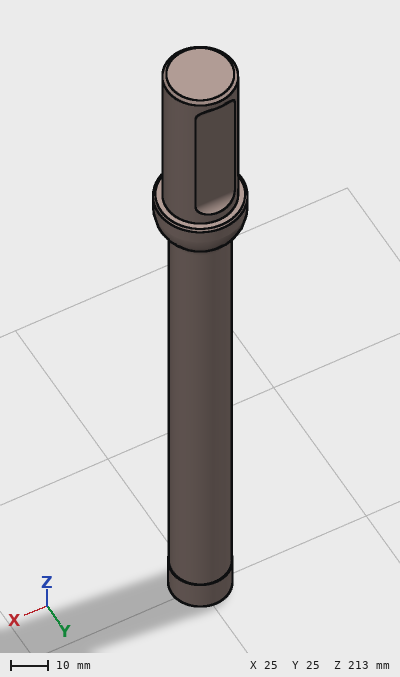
import cadquery as cq
import math

TOTAL_LENGTH = 213.0
POINT_HEIGHT = 2.3
TIP_TOP = 11.3
NECK_BOTTOM = 147.8
FLANGE_RIM_BOTTOM = 158.3
FLANGE_TOP = 163.2

SHANK_DIAMETER = 20.0
FLANGE_DIAMETER = 25.0
STEM_DIAMETER = 16.6
TIP_DIAMETER = 17.0

SHANK_CHAMFER_WIDTH = 1.0
SHANK_CHAMFER_HEIGHT = 0.9
FLANGE_CHAMFER = 0.6

NECK_BOWL_RADIUS = 10.6

FLAT_DEPTH = 2.0
FLAT_END_RADIUS = 4.0
FLAT_TOP_LAND = 3.2
FLAT_BOTTOM_LAND = 3.2

shank_radius = SHANK_DIAMETER / 2
flange_radius = FLANGE_DIAMETER / 2
stem_radius = STEM_DIAMETER / 2
tip_radius = TIP_DIAMETER / 2


def make_turned_holder():
    """Stem, bowl-shaped neck, flange and chamfered shank, turned about Z."""
    neck_inset = flange_radius - stem_radius
    neck_height = FLANGE_RIM_BOTTOM - NECK_BOTTOM
    turn = 2 * math.atan2(neck_inset, neck_height)
    neck_join = (
        flange_radius - NECK_BOWL_RADIUS * (1 - math.cos(turn)),
        FLANGE_RIM_BOTTOM - NECK_BOWL_RADIUS * math.sin(turn),
    )
    profile = (
        cq.Workplane("XZ")
        .moveTo(0, TIP_TOP)
        .lineTo(stem_radius, TIP_TOP)
        .lineTo(stem_radius, NECK_BOTTOM)
        .tangentArcPoint(neck_join, relative=False)
        .tangentArcPoint((flange_radius, FLANGE_RIM_BOTTOM), relative=False)
        .lineTo(flange_radius, FLANGE_TOP - FLANGE_CHAMFER)
        .lineTo(flange_radius - FLANGE_CHAMFER, FLANGE_TOP)
        .lineTo(shank_radius, FLANGE_TOP)
        .lineTo(shank_radius, TOTAL_LENGTH - SHANK_CHAMFER_HEIGHT)
        .lineTo(shank_radius - SHANK_CHAMFER_WIDTH, TOTAL_LENGTH)
        .lineTo(0, TOTAL_LENGTH)
        .close()
    )
    return profile.revolve(360, (0, 0, 0), (0, 1, 0))


def make_flat_cutter():
    """Prism along X that cuts the flat, with a concave run-out at each end."""
    flat_y = shank_radius - FLAT_DEPTH
    top = TOTAL_LENGTH - FLAT_TOP_LAND
    bottom = FLANGE_TOP + FLAT_BOTTOM_LAND
    run_out = math.sqrt(FLAT_END_RADIUS**2 - (FLAT_END_RADIUS - FLAT_DEPTH)**2)
    return (
        cq.Workplane("YZ")
        .moveTo(shank_radius, bottom)
        .radiusArc((flat_y, bottom + run_out), FLAT_END_RADIUS)
        .lineTo(flat_y, top - run_out)
        .radiusArc((shank_radius, top), FLAT_END_RADIUS)
        .close()
        .extrude(shank_radius, both=True)
    )


def make_tip():
    """Cylindrical drill tip with a shallow conical point facing -Z."""
    profile = (
        cq.Workplane("XZ")
        .moveTo(0, 0)
        .lineTo(tip_radius, POINT_HEIGHT)
        .lineTo(tip_radius, TIP_TOP)
        .lineTo(0, TIP_TOP)
        .close()
    )
    return profile.revolve(360, (0, 0, 0), (0, 1, 0))


holder = make_turned_holder().cut(make_flat_cutter())
tip = make_tip()

result = cq.Compound.makeCompound([holder.val(), tip.val()])